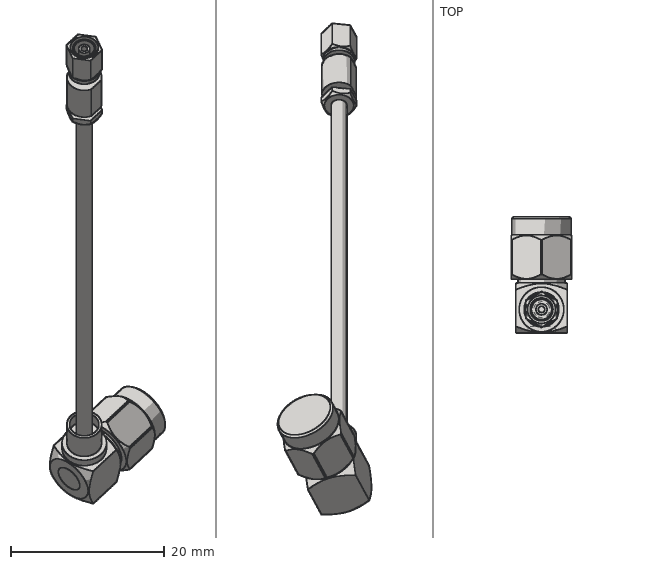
import cadquery as cq
import math


TOTAL_HEIGHT = 91.1
HEX_CHAMFER_ANGLE = 45.0
ELBOW_CHAMFER_ANGLE = 30.0
TRIM_CLEARANCE = 0.1

NUT_FLATS = 7.9
NUT_TURNED_DIAMETER = 9.0
NUT_BACK_Y = 3.9
NUT_SHOULDER_Y = 9.75
NUT_FRONT_Y = 12.1
NUT_RING_DIAMETER = 7.8
NUT_RING_CHAMFER = 0.3
NUT_CHAMFER_CIRCLE = 7.75

AXIS_Z = NUT_TURNED_DIAMETER / 2

ELBOW_WIDTH = 6.7
ELBOW_FRONT_Y = -3.1
ELBOW_BACK_Y = 3.5
ELBOW_CHAMFER_CIRCLE = 6.5
ELBOW_TOP_Z = AXIS_Z + ELBOW_WIDTH / 2
NECK_DIAMETER = 6.2
COLLAR_DIAMETER = 5.8
COLLAR_TOP_Z = 9.0
FERRULE_DIAMETER = 4.6
FERRULE_TOP_Z = 12.85
FERRULE_BORE_DIAMETER = 3.8
FERRULE_BORE_DEPTH = 1.8

PLUG_DIAMETER = 3.6
PLUG_DEPTH = 0.9

CABLE_DIAMETER = 2.1

CONNECTOR_FLATS = 4.1
CONNECTOR_CHAMFER_CIRCLE = 3.8
CONNECTOR_NECK_DIAMETER = 2.55
LOWER_HEX_BOTTOM_Z = 77.5
LOWER_HEX_TOP_Z = 78.6
BARREL_BOTTOM_Z = 79.5
BARREL_TOP_Z = 85.0
BARREL_DIAMETER = 4.6
NECK_STEP_BOTTOM_Z = 85.7
NECK_STEP_DIAMETER = 2.8
UPPER_FLANGE_BOTTOM_Z = 86.0
UPPER_FLANGE_DIAMETER = CONNECTOR_FLATS
UPPER_HEX_BOTTOM_Z = 86.7
SOCKET_DIAMETER = 3.6
SOCKET_DEPTH = 2.7
SOCKET_FLOOR_Z = TOTAL_HEIGHT - SOCKET_DEPTH
SLEEVE_OUTER_DIAMETER = 3.0
SLEEVE_INNER_DIAMETER = 2.6
SLEEVE_RECESS = 0.2
SLEEVE_TOP_Z = TOTAL_HEIGHT - SLEEVE_RECESS
CONTACT_DIAMETER = 1.5
CONTACT_BORE_DIAMETER = 0.8
CONTACT_RECESS = 0.3
CONTACT_TOP_Z = TOTAL_HEIGHT - CONTACT_RECESS


def cylinder(diameter, bottom, top):
    """Upright cylinder on the Z axis."""
    return cq.Workplane("XY", origin=(0, 0, bottom)).circle(diameter / 2).extrude(top - bottom)


def tube(outer_diameter, inner_diameter, bottom, top):
    """Upright tube on the Z axis."""
    return cylinder(outer_diameter, bottom, top).cut(cylinder(inner_diameter, bottom, top))


def trim_corners(prism, angle, circle, corners, bottom, top, both_ends):
    """Turn the corners of an upright prism down to a circle at its bottom face, or at both end faces."""
    inner = circle / 2
    outer = corners / 2 + TRIM_CLEARANCE
    cone_height = (outer - inner) * math.tan(math.radians(angle))
    outline = [(0, bottom), (inner, bottom), (outer, bottom + cone_height)]
    if both_ends:
        outline += [(outer, top - cone_height), (inner, top), (0, top)]
    else:
        outline += [(outer, top), (0, top)]
    envelope = cq.Workplane("XZ").polyline(outline).close().revolve(360, (0, 0), (0, 1))
    return prism.intersect(envelope)


def hexagon(flats, circle, bottom, top, both_ends):
    """Upright hexagonal prism with corners on +Y and -Y, chamfered at its bottom or at both ends."""
    corners = flats / math.cos(math.pi / 6)
    prism = cq.Workplane("XY").polygon(6, corners).extrude(top - bottom)
    prism = prism.rotate((0, 0, 0), (0, 0, 1), 90).translate((0, 0, bottom))
    return trim_corners(prism, HEX_CHAMFER_ANGLE, circle, corners, bottom, top, both_ends)


def lay_on_nut_axis(body):
    """Turn an upright body so that its +Z points to +Y, on the axis of the coupling nut."""
    return body.rotate((0, 0, 0), (1, 0, 0), -90).translate((0, 0, AXIS_Z))


def make_nut():
    hex_part = hexagon(NUT_FLATS, NUT_CHAMFER_CIRCLE, NUT_BACK_Y, NUT_SHOULDER_Y, both_ends=True)
    hex_part = hex_part.intersect(cylinder(NUT_TURNED_DIAMETER, NUT_BACK_Y, NUT_SHOULDER_Y))
    ring = cylinder(NUT_RING_DIAMETER, NUT_SHOULDER_Y, NUT_FRONT_Y).faces(">Z").chamfer(NUT_RING_CHAMFER)
    return lay_on_nut_axis(hex_part.union(ring))


def make_plug():
    return lay_on_nut_axis(cylinder(PLUG_DIAMETER, ELBOW_FRONT_Y, ELBOW_FRONT_Y + PLUG_DEPTH))


def make_elbow(plug, cable):
    block = cq.Workplane("XY", origin=(0, 0, ELBOW_FRONT_Y)).rect(ELBOW_WIDTH, ELBOW_WIDTH)
    block = trim_corners(
        block.extrude(ELBOW_BACK_Y - ELBOW_FRONT_Y),
        ELBOW_CHAMFER_ANGLE,
        ELBOW_CHAMFER_CIRCLE,
        ELBOW_WIDTH * math.sqrt(2),
        ELBOW_FRONT_Y,
        ELBOW_BACK_Y,
        both_ends=True,
    )
    neck = cylinder(NECK_DIAMETER, ELBOW_BACK_Y, NUT_BACK_Y)
    collar = cylinder(COLLAR_DIAMETER, AXIS_Z, COLLAR_TOP_Z)
    ferrule = cylinder(FERRULE_DIAMETER, AXIS_Z, FERRULE_TOP_Z)
    bore = cylinder(FERRULE_BORE_DIAMETER, FERRULE_TOP_Z - FERRULE_BORE_DEPTH, FERRULE_TOP_Z)
    body = lay_on_nut_axis(block.union(neck)).union(collar).union(ferrule)
    return body.cut(bore).cut(plug).cut(cable)


def make_cable():
    return cylinder(CABLE_DIAMETER, ELBOW_TOP_Z, LOWER_HEX_BOTTOM_Z)


def make_barrel():
    """Round barrel with a flat on each X side."""
    flats = cq.Workplane("XY", origin=(0, 0, BARREL_BOTTOM_Z)).rect(CONNECTOR_FLATS, BARREL_DIAMETER)
    return cylinder(BARREL_DIAMETER, BARREL_BOTTOM_Z, BARREL_TOP_Z).intersect(
        flats.extrude(BARREL_TOP_Z - BARREL_BOTTOM_Z)
    )


def make_connector():
    lower_hex = hexagon(
        CONNECTOR_FLATS, CONNECTOR_CHAMFER_CIRCLE, LOWER_HEX_BOTTOM_Z, LOWER_HEX_TOP_Z, both_ends=False
    )
    upper_hex = hexagon(
        CONNECTOR_FLATS, CONNECTOR_CHAMFER_CIRCLE, UPPER_HEX_BOTTOM_Z, TOTAL_HEIGHT, both_ends=False
    )
    neck = cylinder(CONNECTOR_NECK_DIAMETER, LOWER_HEX_TOP_Z, UPPER_FLANGE_BOTTOM_Z)
    step = cylinder(NECK_STEP_DIAMETER, NECK_STEP_BOTTOM_Z, UPPER_FLANGE_BOTTOM_Z)
    flange = cylinder(UPPER_FLANGE_DIAMETER, UPPER_FLANGE_BOTTOM_Z, UPPER_HEX_BOTTOM_Z)
    shell = lower_hex.union(neck).union(make_barrel()).union(step).union(flange).union(upper_hex)

    socket = cylinder(SOCKET_DIAMETER, SOCKET_FLOOR_Z, TOTAL_HEIGHT)
    sleeve = tube(SLEEVE_OUTER_DIAMETER, SLEEVE_INNER_DIAMETER, SOCKET_FLOOR_Z, SLEEVE_TOP_Z)
    contact = tube(CONTACT_DIAMETER, CONTACT_BORE_DIAMETER, SOCKET_FLOOR_Z, CONTACT_TOP_Z)
    return shell.cut(socket).union(sleeve).union(contact)


nut = make_nut()
plug = make_plug()
cable = make_cable()
elbow = make_elbow(plug, cable)
connector = make_connector()

result = cq.Compound.makeCompound([nut.val(), plug.val(), cable.val(), elbow.val(), connector.val()])